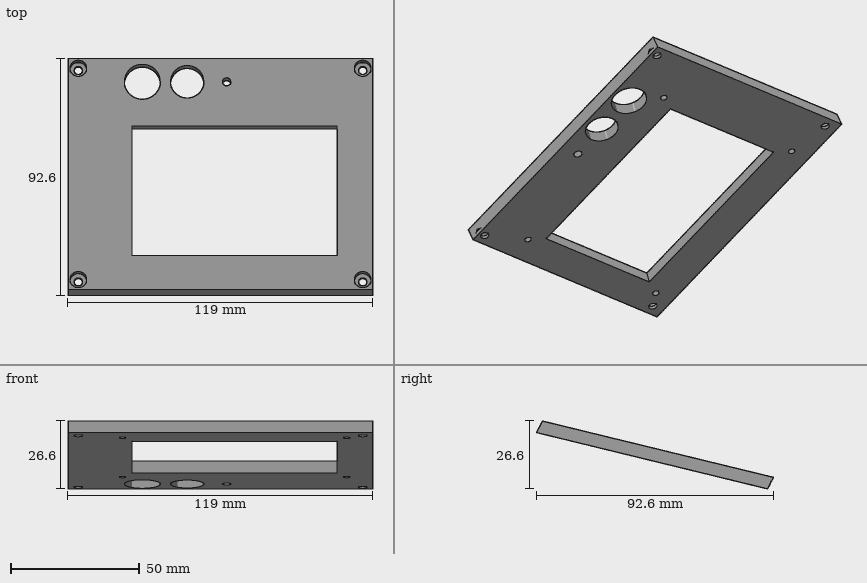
import cadquery as cq
import math

tilt = 13.7
end_bevel = tilt
panel_width = 119.0
panel_length = 92.89
thickness = 5.0

corner_inset = 4.0
corner_hole_diameter = 3.2
corner_head_diameter = 6.5
corner_head_depth = 3.5

window_width = 80.0
window_length = 52.0
window_x = 5.5
window_y = -6.75

mount_pitch_x = 87.5
mount_pitch_y = 64.5
mount_hole_diameter = 2.5
mount_hole_depth = 3.0

row_inset = 9.4
row_holes = [(29.0, 14.0), (46.5, 13.0), (61.9, 3.2)]

tilt_angle = math.radians(tilt)
half_width = panel_width / 2
half_length = panel_length / 2
end_shift = thickness * math.tan(math.radians(end_bevel))


def panel_plane(depth):
    """Plane parallel to the panel top, `depth` below it; local Y runs down the slope to +Y."""
    normal = cq.Vector(0, math.sin(tilt_angle), math.cos(tilt_angle))
    return cq.Plane(origin=(normal * -depth).toTuple(), xDir=(1, 0, 0), normal=normal.toTuple())


def make_plate():
    """Plate with parallel bevelled ends, its underside shifted towards the high edge."""
    profile_plane = cq.Plane(
        origin=(-half_width, 0, 0),
        xDir=panel_plane(0).yDir.toTuple(),
        normal=(1, 0, 0),
    )
    outline = [
        (-half_length, 0),
        (half_length, 0),
        (half_length - end_shift, -thickness),
        (-half_length - end_shift, -thickness),
    ]
    return cq.Workplane(profile_plane).polyline(outline).close().extrude(panel_width)


def cylinders(points, diameter, start_depth, end_depth):
    """Cylinders square to the panel between two depths below its top face."""
    sketch = cq.Workplane(panel_plane(end_depth)).pushPoints(points)
    return sketch.circle(diameter / 2).extrude(end_depth - start_depth)


def rectangle_corners(pitch_x, pitch_y, center_x=0, center_y=0):
    return [
        (center_x + side_x * pitch_x / 2, center_y + side_y * pitch_y / 2)
        for side_x in (-1, 1)
        for side_y in (-1, 1)
    ]


def cut_window(plate):
    window = cq.Workplane(panel_plane(thickness)).center(window_x, window_y)
    return plate.cut(window.rect(window_width, window_length).extrude(thickness))


def cut_corner_screws(plate):
    points = rectangle_corners(panel_width - 2 * corner_inset, panel_length - 2 * corner_inset)
    plate = plate.cut(cylinders(points, corner_hole_diameter, 0, thickness))
    return plate.cut(cylinders(points, corner_head_diameter, 0, corner_head_depth))


def cut_mount_holes(plate):
    points = rectangle_corners(mount_pitch_x, mount_pitch_y, window_x, window_y)
    return plate.cut(cylinders(points, mount_hole_diameter, thickness - mount_hole_depth, thickness))


def cut_hole_row(plate):
    for left_distance, diameter in row_holes:
        point = (left_distance - half_width, half_length - row_inset)
        plate = plate.cut(cylinders([point], diameter, 0, thickness))
    return plate


result = make_plate()
result = cut_window(result)
result = cut_corner_screws(result)
result = cut_mount_holes(result)
result = cut_hole_row(result)